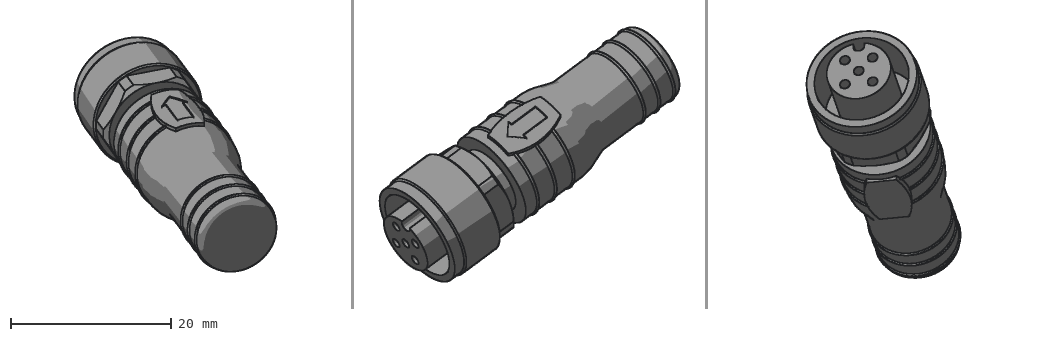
import cadquery as cq
import math

NUT_START = 1.95
RING_START = 3.5
RING_END = 9.55
HEX_END = 12.47
BODY_START = 14.45
BODY_END = 24.53
SHOULDER_END = 26.2
TOTAL_LENGTH = 42.0

INSERT_RADIUS = 4.07
CONTACT_RADIUS = 0.65
CONTACT_OFFSET = 1.75
CONTACT_DEPTH = 5.05
KEYWAY_WIDTH = 1.43
KEYWAY_FLOOR = 2.95

NUT_RADIUS = 7.0
NUT_BORE_RADIUS = 6.0
RING_RADIUS = 14.5 / 2
RING_CHAMFER = 0.2
HEX_ACROSS_FLATS = 12.6
HEX_CORNER_RADIUS = 6.95
HEX_BEVEL_LENGTH = 0.5
NECK_RADIUS = 4.55

BODY_RADIUS = 6.43
TUBE_RADIUS = 5.25
TAPER_ANGLE = 18.5
TAPER_FOOT_LENGTH = 0.38
TUBE_END_FILLET = 0.85
END_DOME_HEIGHT = 0.13
RIB_RADIUS = 0.19
BODY_RIB_STATIONS = (16.45, 19.45, 22.45)
TUBE_RIB_STATIONS = (35.5, 37.95, 40.5)

PAD_START = 15.6
PAD_END = 24.4
PAD_END_HALF_WIDTH = 1.9
PAD_MID_HALF_WIDTH = 2.85
UPPER_PAD_RADIUS = 6.9
LOWER_PAD_HEIGHT = 6.7
ARROW_TIP = 17.15
ARROW_HEAD_END = 18.85
ARROW_TAIL = 22.85
ARROW_HEAD_HALF_WIDTH = 1.72
ARROW_SHAFT_HALF_WIDTH = 1.1
ARROW_DEPTH = 0.15


def cylinder_x(start, end, radius):
    """Solid cylinder on the X axis between two stations."""
    return cq.Workplane("YZ", origin=(start, 0, 0)).circle(radius).extrude(end - start)


def knurl_ring():
    """Ring of the nut, bevelled at both ends."""
    return cylinder_x(RING_START, RING_END, RING_RADIUS).edges().chamfer(RING_CHAMFER)


def hex_section():
    """Hexagon with flats facing up and down, turned to a cylinder at its corners and bevelled behind."""
    flats_radius = HEX_ACROSS_FLATS / 2
    across_corners = HEX_ACROSS_FLATS / math.cos(math.radians(30))
    prism = (
        cq.Workplane("YZ", origin=(RING_END, 0, 0))
        .polygon(6, across_corners)
        .extrude(HEX_END - RING_END)
    )
    envelope = (
        cylinder_x(RING_END, HEX_END, HEX_CORNER_RADIUS)
        .faces(">X")
        .edges()
        .chamfer(HEX_BEVEL_LENGTH, HEX_CORNER_RADIUS - flats_radius)
    )
    return prism.intersect(envelope)


def grip_and_sleeve():
    """Revolved grip body that tapers between tangent arcs into the rounded, slightly domed cable sleeve."""
    angle = math.radians(TAPER_ANGLE)
    shoulder_drop = (SHOULDER_END - BODY_END) * math.tan(angle / 2)
    foot_drop = TAPER_FOOT_LENGTH * math.tan(angle / 2)
    cone_drop = BODY_RADIUS - TUBE_RADIUS - shoulder_drop - foot_drop
    cone_end = SHOULDER_END + cone_drop / math.tan(angle)
    tube_start = cone_end + TAPER_FOOT_LENGTH

    dome_start = TOTAL_LENGTH - END_DOME_HEIGHT
    dome_rim = TUBE_RADIUS - TUBE_END_FILLET
    dome_radius = (dome_rim**2 + END_DOME_HEIGHT**2) / (2 * END_DOME_HEIGHT)
    return (
        cq.Workplane("XY")
        .moveTo(BODY_START, 0)
        .lineTo(BODY_START, BODY_RADIUS)
        .lineTo(BODY_END, BODY_RADIUS)
        .tangentArcPoint((SHOULDER_END, BODY_RADIUS - shoulder_drop), relative=False)
        .lineTo(cone_end, TUBE_RADIUS + foot_drop)
        .tangentArcPoint((tube_start, TUBE_RADIUS), relative=False)
        .lineTo(dome_start - TUBE_END_FILLET, TUBE_RADIUS)
        .tangentArcPoint((dome_start, dome_rim), relative=False)
        .radiusArc((TOTAL_LENGTH, 0), dome_radius)
        .close()
        .revolve(360, (0, 0, 0), (1, 0, 0))
    )


def rib(station, surface_radius):
    """Round bead running around the surface."""
    return (
        cq.Workplane("XY")
        .center(station, surface_radius)
        .circle(RIB_RADIUS)
        .revolve(360, (-0.4, -surface_radius, 0), (0.4, -surface_radius, 0))
    )


def pad(height):
    """Barrel-outlined block rising from the axis; a negative height points down."""
    middle = (PAD_START + PAD_END) / 2
    return (
        cq.Workplane("XY")
        .moveTo(PAD_START, -PAD_END_HALF_WIDTH)
        .threePointArc((middle, -PAD_MID_HALF_WIDTH), (PAD_END, -PAD_END_HALF_WIDTH))
        .lineTo(PAD_END, PAD_END_HALF_WIDTH)
        .threePointArc((middle, PAD_MID_HALF_WIDTH), (PAD_START, PAD_END_HALF_WIDTH))
        .close()
        .extrude(height)
    )


def arrow_recess():
    """Arrow pointing to the nut, sunk evenly into the upper pad."""
    half_outline = [
        (ARROW_HEAD_END, ARROW_HEAD_HALF_WIDTH),
        (ARROW_HEAD_END, ARROW_SHAFT_HALF_WIDTH),
        (ARROW_TAIL, ARROW_SHAFT_HALF_WIDTH),
    ]
    mirrored = [(x, -y) for x, y in reversed(half_outline)]
    arrow = (
        cq.Workplane("XY")
        .polyline([(ARROW_TIP, 0)] + half_outline + mirrored)
        .close()
        .extrude(RING_RADIUS)
    )
    return arrow.cut(cylinder_x(PAD_START, PAD_END, UPPER_PAD_RADIUS - ARROW_DEPTH))


def contact_holes():
    """Central contact hole and four around it in a square."""
    corners = [(y, z) for y in (-CONTACT_OFFSET, CONTACT_OFFSET) for z in (-CONTACT_OFFSET, CONTACT_OFFSET)]
    return (
        cq.Workplane("YZ")
        .pushPoints([(0, 0)] + corners)
        .circle(CONTACT_RADIUS)
        .extrude(CONTACT_DEPTH)
    )


def keyway():
    """Round-bottomed groove along the top of the insert."""
    half_width = KEYWAY_WIDTH / 2
    arc_centre = KEYWAY_FLOOR + half_width
    return (
        cq.Workplane("YZ")
        .moveTo(-half_width, INSERT_RADIUS)
        .lineTo(-half_width, arc_centre)
        .threePointArc((0, KEYWAY_FLOOR), (half_width, arc_centre))
        .lineTo(half_width, INSERT_RADIUS)
        .close()
        .extrude(RING_END)
    )


nut = cylinder_x(NUT_START, RING_START, NUT_RADIUS).union(knurl_ring())
nut = nut.cut(cylinder_x(NUT_START, RING_END, NUT_BORE_RADIUS))
insert = cylinder_x(0, RING_END, INSERT_RADIUS).cut(contact_holes()).cut(keyway())
neck = cylinder_x(HEX_END, BODY_START, NECK_RADIUS)

grip = grip_and_sleeve()
for station in BODY_RIB_STATIONS:
    grip = grip.union(rib(station, BODY_RADIUS))
for station in TUBE_RIB_STATIONS:
    grip = grip.union(rib(station, TUBE_RADIUS))
upper_pad = pad(RING_RADIUS).intersect(cylinder_x(PAD_START, PAD_END, UPPER_PAD_RADIUS))
lower_pad = pad(-LOWER_PAD_HEIGHT)
grip = grip.union(upper_pad).union(lower_pad)
grip = grip.cut(arrow_recess())

result = hex_section().union(nut).union(insert).union(neck).union(grip)